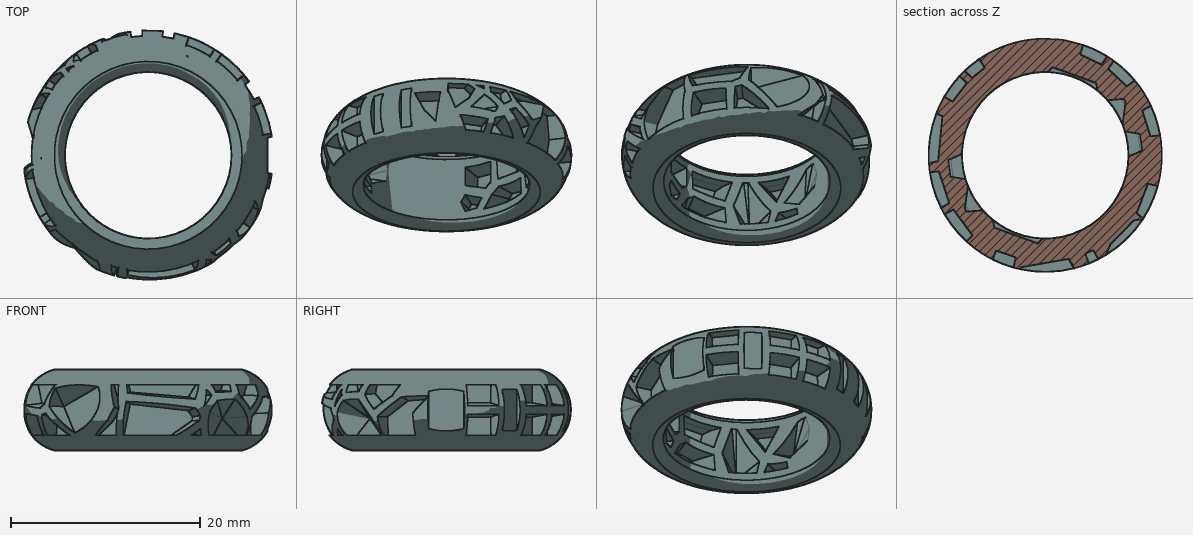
import cadquery as cq
import math


OUTER_RADIUS = 13.19
BORE_RADIUS = 8.77
CREST_RADIUS = 9.9
HALF_HEIGHT = 8.57 / 2
WINDOW_HALF_HEIGHT = 2.65
BORE_HALF_HEIGHT = 3.5

ROUND_CENTRE = (OUTER_RADIUS ** 2 - CREST_RADIUS ** 2 - HALF_HEIGHT ** 2) / (2 * (OUTER_RADIUS - CREST_RADIUS))

FLOOR_RADIUS = 11.2
SHALLOW_FLOOR_RADIUS = 12.6
OUTER_FOCUS_RADIUS = 4.0
APEX_RADIUS = 11.2
BORE_FLOOR_RADIUS = 10.4
BORE_FOCUS_RADIUS = 13.0
OUTWARD_REACH = 4.0
BORE_REACH = 2.0
CUTTER_SIZE = 30.0
RIM_OVERRUN = 3.35

FRONT_FLOORED = [
    [(-3.9, 3.4), (-3.0, 3.4), (-3.15, 0.0), (-3.5, 0.0)],
    [(-3.5, 0.4), (-3.15, 0.4), (-3.3, -3.4), (-6.0, -3.4), (-4.3, -1.1)],
    [(-2.2, 3.4), (5.3, 3.4), (4.95, 1.15), (-2.2, 1.8)],
    [(-2.3, 0.9), (5.0, 0.2), (5.5, -0.6), (5.4, -1.1), (1.6, -3.4), (-2.5, -3.4)],
    [(3.6, -3.3), (5.5, -2.0), (5.6, -3.3)],
    [(6.15, 2.15), (6.7, 1.55), (5.9, 0.4)],
    [(6.2, 3.3), (8.3, 3.3), (8.75, 1.95), (7.2, 1.85)],
    [(9.0, 3.3), (10.9, 3.3), (11.6, 1.5), (10.75, 0.1), (9.6, 1.65)],
    [(10.95, -0.7), (12.1, 1.4), (12.8, 1.5), (12.7, -0.3), (11.3, -3.3), (9.9, -3.3)],
]
FRONT_POINTED = [
    ([(-9.8, 2.3), (-5.3, 2.45), (-7.75, -2.4), (-10.45, 0.4)],
     (-8.9, 0.36), 11.5),
    ([(6.5, -0.2), (7.3, 1.0), (9.15, 1.15), (10.4, -0.65), (9.9, -3.2), (6.6, -3.2)],
     (7.8, -0.9), APEX_RADIUS),
]

LEFT_FLOORED = [
    [(1.1, 3.4), (-0.75, 3.4), (-1.6, 0.1), (-0.5, -3.4), (4.3, -3.4), (4.3, -0.9)],
    [(-1.1, 3.4), (-7.25, 3.4), (-7.25, 0.6), (-6.55, 0.2), (-2.5, 0.5)],
    [(-2.6, -0.4), (-5.95, -0.6), (-5.2, -3.4), (-1.5, -3.4)],
    [(-6.85, -0.5), (-7.45, -0.35), (-9.2, -3.1), (-6.0, -3.1)],
    [(7.45, 0.1), (6.85, 0.45), (5.15, -1.0), (5.15, -2.3)],
    [(8.75, 1.95), (8.0, 3.2), (6.75, 3.2), (7.15, 1.25), (7.95, 0.6)],
    [(9.6, 3.0), (8.7, 3.0), (9.15, 2.2)],
    [(8.65, -1.15), (7.95, -0.8), (5.5, -3.2), (8.1, -3.2)],
    [(11.1, -1.25), (9.2, -1.4), (8.7, -3.1), (9.7, -3.1)],
    [(10.8, 3.0), (10.0, 2.9), (9.95, 2.0), (10.7, 0.7), (11.5, -0.5), (11.6, 1.7)],
    [(12.75, 1.45), (12.0, 1.4), (12.0, -1.9), (12.7, -0.7)],
]
LEFT_POINTED = [
    ([(6.3, 3.4), (2.0, 3.4), (4.8, -0.3), (6.45, 1.35)], (5.35, 1.95), APEX_RADIUS),
    ([(9.5, 1.35), (8.6, 0.1), (8.8, -0.5), (10.6, -0.3)], (9.1, 0.0), APEX_RADIUS),
]

FAR_FULL_WINDOWS = [(-8, 8), (28, 36), (78, 83), (93, 98)]
FAR_SPLIT_WINDOWS = [(10, 25), (40, 54), (58, 71)]
FAR_STRUT_WIDTH = 0.9

BORE_FLOORED = [
    [(78, 3.0), (46, 3.0), (52, 0.1), (77, 0.4)],
    [(82, -1.2), (76, -0.5), (52, -0.8), (51, -2.8), (89, -2.8)],
    [(30, 2.9), (5, 2.9), (16, -0.2)],
    [(14, -1.7), (0, -1.9), (-1, -2.8), (17, -2.8)],
    [(83, 2.7), (102, 2.5), (102, 0.4), (87, -0.3), (83, 0.3)],
    [(105, -1.5), (102, -2.6), (94, -2.4), (90, -1.3), (102, -0.7)],
]
BORE_POINTED = [
    ([(39, 2.9), (46, -0.4), (41, -2.8), (22, -2.8), (20, -1.3), (36, 2.8)], (35, -2.6), 10.4),
    ([(-9, 2.5), (10, -0.6), (-2, -1.5), (-18, -0.3), (-20, 1.1), (-16, 2.9)], (0, -0.6), 10.2),
]
BORE_TURNS = (0, 180)


def outer_radius_at(z):
    """Radius of the outer round at height z."""
    return ROUND_CENTRE + math.sqrt((OUTER_RADIUS - ROUND_CENTRE) ** 2 - z ** 2)


def polar_point(radius, angle, z):
    return cq.Vector(radius * math.cos(angle), radius * math.sin(angle), z)


def make_band():
    run = CREST_RADIUS - BORE_RADIUS
    drop = HALF_HEIGHT - BORE_HALF_HEIGHT
    round_radius = (run ** 2 + drop ** 2) / (2 * drop)
    half_sweep = math.atan2(drop, run)
    round_middle = (
        CREST_RADIUS - round_radius * math.sin(half_sweep),
        HALF_HEIGHT - round_radius * (1 - math.cos(half_sweep)),
    )
    profile = (
        cq.Workplane("XZ")
        .moveTo(BORE_RADIUS, -BORE_HALF_HEIGHT)
        .lineTo(BORE_RADIUS, BORE_HALF_HEIGHT)
        .threePointArc(round_middle, (CREST_RADIUS, HALF_HEIGHT))
        .threePointArc((OUTER_RADIUS, 0), (CREST_RADIUS, -HALF_HEIGHT))
        .threePointArc((round_middle[0], -round_middle[1]), (BORE_RADIUS, -BORE_HALF_HEIGHT))
        .close()
    )
    return profile.revolve(360, (0, 0, 0), (0, 1, 0))


def make_triangle(*corners):
    return cq.Face.makeFromWires(cq.Wire.makePolygon(corners, close=True))


def counterclockwise(corners, apex):
    """Order the corners counterclockwise as seen from outside, looking back at the apex."""
    middle = sum(corners, cq.Vector()) / len(corners)
    area = cq.Vector()
    for start, end in zip(corners, corners[1:] + corners[:1]):
        area += (start - middle).cross(end - middle)
    return corners if area.dot(middle - apex) > 0 else corners[::-1]


def make_cone(apex, corners, reach):
    """Faceted cone from the apex through the corners, ending `reach` beyond them."""
    ends = [c + (c - apex).normalized() * reach for c in counterclockwise(corners, apex)]
    middle = sum(ends, cq.Vector()) / len(ends)
    faces = []
    for start, end in zip(ends, ends[1:] + ends[:1]):
        faces.append(make_triangle(apex, end, start))
        faces.append(make_triangle(middle, start, end))
    return cq.Workplane(cq.Solid.makeSolid(cq.Shell.makeShell(faces)))


def keep_beyond(cutter, floor_point, direction):
    """Trim a cutter with a flat floor, keeping the side the direction points to."""
    floor = cq.Plane(origin=floor_point, normal=direction)
    return cutter.intersect(cq.Workplane(floor).rect(CUTTER_SIZE, CUTTER_SIZE).extrude(CUTTER_SIZE))


def mean_angle_and_height(corners):
    middle = sum(corners, cq.Vector()) / len(corners)
    return math.atan2(middle.y, middle.x), middle.z


def floored_pocket(corners, floor_radius=FLOOR_RADIUS):
    angle, z = mean_angle_and_height(corners)
    cone = make_cone(polar_point(OUTER_FOCUS_RADIUS, angle, z), corners, OUTWARD_REACH)
    return keep_beyond(cone, polar_point(floor_radius, angle, z), polar_point(1, angle, 0))


def floored_bore_pocket(corners):
    angle, z = mean_angle_and_height(corners)
    cone = make_cone(polar_point(BORE_FOCUS_RADIUS, angle, z), corners, BORE_REACH)
    return keep_beyond(cone, polar_point(BORE_FLOOR_RADIUS, angle, z), polar_point(-1, angle, 0))


def front_point(x, z, radius):
    return cq.Vector(x, -math.sqrt(radius ** 2 - x ** 2), z)


def left_point(y, z, radius):
    return cq.Vector(-math.sqrt(radius ** 2 - y ** 2), y, z)


def side_pockets(point_on_side, floored, pointed):
    def on_surface(outline):
        return [point_on_side(across, z, outer_radius_at(z)) for across, z in outline]

    cutters = [floored_pocket(on_surface(outline)) for outline in floored]
    for outline, (across, z), radius in pointed:
        apex = point_on_side(across, z, radius)
        cutters.append(make_cone(apex, on_surface(outline), OUTWARD_REACH))
    return cutters


def far_pocket(start, end, bottom, top, floor_radius=FLOOR_RADIUS):
    corners = []
    for degrees, z in ((start, bottom), (end, bottom), (end, top), (start, top)):
        corners.append(polar_point(outer_radius_at(z), math.radians(degrees), z))
    return floored_pocket(corners, floor_radius)


def far_pockets():
    strut_edge = FAR_STRUT_WIDTH / 2
    cutters = []
    for start, end in FAR_FULL_WINDOWS:
        cutters.append(far_pocket(start, end, -RIM_OVERRUN, RIM_OVERRUN, SHALLOW_FLOOR_RADIUS))
    for start, end in FAR_SPLIT_WINDOWS:
        cutters.append(far_pocket(start, end, strut_edge, RIM_OVERRUN))
        cutters.append(far_pocket(start, end, -RIM_OVERRUN, -strut_edge))
    return cutters


def bore_pockets(turn):
    """Bore pockets turned about Z by an angle in degrees."""
    def on_bore(outline):
        return [polar_point(BORE_RADIUS, math.radians(angle + turn), z) for angle, z in outline]

    cutters = [floored_bore_pocket(on_bore(outline)) for outline in BORE_FLOORED]
    for outline, (angle, z), radius in BORE_POINTED:
        apex = polar_point(radius, math.radians(angle + turn), z)
        cutters.append(make_cone(apex, on_bore(outline), BORE_REACH))
    return cutters


window_zone = cq.Workplane("XY").circle(CUTTER_SIZE).extrude(WINDOW_HALF_HEIGHT, both=True)
cutters = side_pockets(front_point, FRONT_FLOORED, FRONT_POINTED)
cutters += side_pockets(left_point, LEFT_FLOORED, LEFT_POINTED)
cutters += far_pockets()
for bore_turn in BORE_TURNS:
    cutters += bore_pockets(bore_turn)

pockets = [cutter.intersect(window_zone).val() for cutter in cutters]
result = cq.Workplane(make_band().val().cut(*pockets))